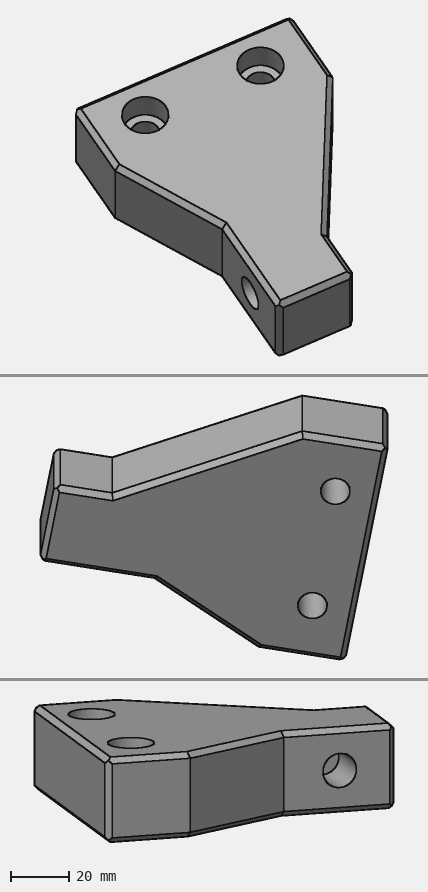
import cadquery as cq

length = 110.0
width = 85.0
thickness = 30.0
chamfer = 2.0

base_length = 30.0
neck_front_start = 70.0
neck_back_start = 90.0
neck_front_y = 20.0
neck_back_y = 50.0

mount_x = 15.0
mount_y_positions = (20.0, 65.0)
mount_diameter = 10.0
counterbore_diameter = 16.0
counterbore_depth = 10.0

side_hole_x = 90.0
side_hole_diameter = 12.0
side_hole_depth = 20.0


def make_body():
    """Tapered plate with chamfered rims and end corners."""
    outline = [
        (0, 0),
        (base_length, 0),
        (neck_front_start, neck_front_y),
        (length, neck_front_y),
        (length, neck_back_y),
        (neck_back_start, neck_back_y),
        (base_length, width),
        (0, width),
    ]
    plate = cq.Workplane("XY").polyline(outline).close().extrude(thickness)
    rim_chamfered = plate.faces("<Z or >Z").edges().chamfer(chamfer)
    corner_chamfered = plate.faces("<X or >X").edges("|Z").chamfer(chamfer)
    return rim_chamfered.intersect(corner_chamfered)


def drill_mounting_holes(body):
    """Through holes counterbored from the top face."""
    centers = [(mount_x, y) for y in mount_y_positions]
    return (
        body.faces(">Z")
        .workplane(origin=(0, 0, thickness))
        .pushPoints(centers)
        .cboreHole(mount_diameter, counterbore_diameter, counterbore_depth)
    )


def drill_side_hole(body):
    """Flat-bottomed hole entering the neck along +Y at mid-thickness."""
    cutter = cq.Solid.makeCylinder(
        side_hole_diameter / 2,
        side_hole_depth,
        cq.Vector(side_hole_x, neck_front_y, thickness / 2),
        cq.Vector(0, 1, 0),
    )
    return body.cut(cq.Workplane(obj=cutter))


result = drill_side_hole(drill_mounting_holes(make_body()))